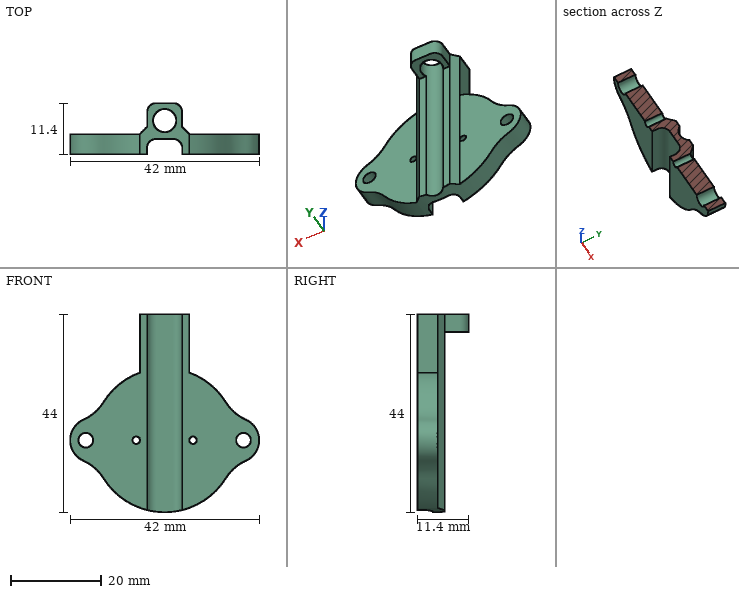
import cadquery as cq
import math

DISC_RADIUS = 16.0
PLATE_THICKNESS = 4.5
EAR_RADIUS = 5.0
EAR_TIP_X = 21.0
EAR_CENTER_X = EAR_TIP_X - EAR_RADIUS
BLEND_RADIUS = 10.0

EAR_HOLE_DIAMETER = 3.2
EAR_HOLE_X = 17.5
PIN_HOLE_DIAMETER = 1.6
PIN_HOLE_X = 6.3

RAIL_TOP_Z = 28.0
RAIL_WIDTH = 11.0
CHANNEL_WIDTH = 7.8
CHANNEL_DEPTH = 3.4
CHANNEL_CORNER_RADIUS = 2.0
RAIL_BEVEL = (RAIL_WIDTH - CHANNEL_WIDTH) / 2
RAIL_DEPTH = PLATE_THICKNESS + RAIL_BEVEL

BLOCK_WIDTH = CHANNEL_WIDTH
BLOCK_HEIGHT = 4.0
BLOCK_BACK_Y = 11.4
BLOCK_CORNER_RADIUS = 2.0
BORE_DIAMETER = 5.1
BORE_Y = 7.5

TOTAL_HEIGHT = RAIL_TOP_Z + DISC_RADIUS


def extrude_back(sketch, depth):
    """Extrude an XZ sketch toward +Y."""
    return sketch.extrude(-depth)


def make_plate():
    disc_reach = DISC_RADIUS + BLEND_RADIUS
    ear_reach = EAR_RADIUS + BLEND_RADIUS
    blend_x = (disc_reach**2 - ear_reach**2 + EAR_CENTER_X**2) / (2 * EAR_CENTER_X)
    blend_z = math.sqrt(disc_reach**2 - blend_x**2)

    disc_touch_x = blend_x * DISC_RADIUS / disc_reach
    disc_touch_z = blend_z * DISC_RADIUS / disc_reach
    ear_touch_x = EAR_CENTER_X + (blend_x - EAR_CENTER_X) * EAR_RADIUS / ear_reach
    ear_touch_z = blend_z * EAR_RADIUS / ear_reach

    toward_x = (disc_touch_x + ear_touch_x) / 2 - blend_x
    toward_z = (disc_touch_z + ear_touch_z) / 2 - blend_z
    toward_length = math.hypot(toward_x, toward_z)
    blend_mid_x = blend_x + toward_x * BLEND_RADIUS / toward_length
    blend_mid_z = blend_z + toward_z * BLEND_RADIUS / toward_length

    outline = (
        cq.Workplane("XZ")
        .moveTo(-disc_touch_x, disc_touch_z)
        .threePointArc((0, DISC_RADIUS), (disc_touch_x, disc_touch_z))
        .threePointArc((blend_mid_x, blend_mid_z), (ear_touch_x, ear_touch_z))
        .threePointArc((EAR_TIP_X, 0), (ear_touch_x, -ear_touch_z))
        .threePointArc((blend_mid_x, -blend_mid_z), (disc_touch_x, -disc_touch_z))
        .threePointArc((0, -DISC_RADIUS), (-disc_touch_x, -disc_touch_z))
        .threePointArc((-blend_mid_x, -blend_mid_z), (-ear_touch_x, -ear_touch_z))
        .threePointArc((-EAR_TIP_X, 0), (-ear_touch_x, ear_touch_z))
        .threePointArc((-blend_mid_x, blend_mid_z), (-disc_touch_x, disc_touch_z))
        .close()
    )
    return extrude_back(outline, PLATE_THICKNESS)


def make_rail():
    rail = (
        cq.Workplane("XY", origin=(0, RAIL_DEPTH / 2, -DISC_RADIUS))
        .rect(RAIL_WIDTH, RAIL_DEPTH)
        .extrude(TOTAL_HEIGHT)
        .edges("|Z and >Y")
        .chamfer(RAIL_BEVEL)
    )
    disc = extrude_back(cq.Workplane("XZ").circle(DISC_RADIUS), RAIL_DEPTH)
    below_axis = (
        cq.Workplane("XY", origin=(0, RAIL_DEPTH / 2, 0))
        .rect(RAIL_WIDTH, RAIL_DEPTH)
        .extrude(-DISC_RADIUS)
    )
    return rail.cut(below_axis.cut(disc))


def make_guide_block():
    block_front_y = PLATE_THICKNESS
    block_depth = BLOCK_BACK_Y - block_front_y
    return (
        cq.Workplane("XY", origin=(0, block_front_y + block_depth / 2, RAIL_TOP_Z))
        .rect(BLOCK_WIDTH, block_depth)
        .extrude(-BLOCK_HEIGHT)
        .edges("|Z and >Y")
        .fillet(BLOCK_CORNER_RADIUS)
    )


def make_channel():
    return (
        cq.Workplane("XY", origin=(0, 0, -DISC_RADIUS))
        .rect(CHANNEL_WIDTH, 2 * CHANNEL_DEPTH)
        .extrude(TOTAL_HEIGHT)
        .edges("|Z and >Y")
        .fillet(CHANNEL_CORNER_RADIUS)
    )


def make_bore():
    return (
        cq.Workplane("XY", origin=(0, BORE_Y, -DISC_RADIUS))
        .circle(BORE_DIAMETER / 2)
        .extrude(TOTAL_HEIGHT)
    )


def make_hole_pair(diameter, center_x):
    holes = (
        cq.Workplane("XZ")
        .pushPoints([(-center_x, 0), (center_x, 0)])
        .circle(diameter / 2)
    )
    return extrude_back(holes, PLATE_THICKNESS)


body = make_plate().union(make_rail()).union(make_guide_block())
body = body.cut(make_channel()).cut(make_bore())
body = body.cut(make_hole_pair(EAR_HOLE_DIAMETER, EAR_HOLE_X))
result = body.cut(make_hole_pair(PIN_HOLE_DIAMETER, PIN_HOLE_X))